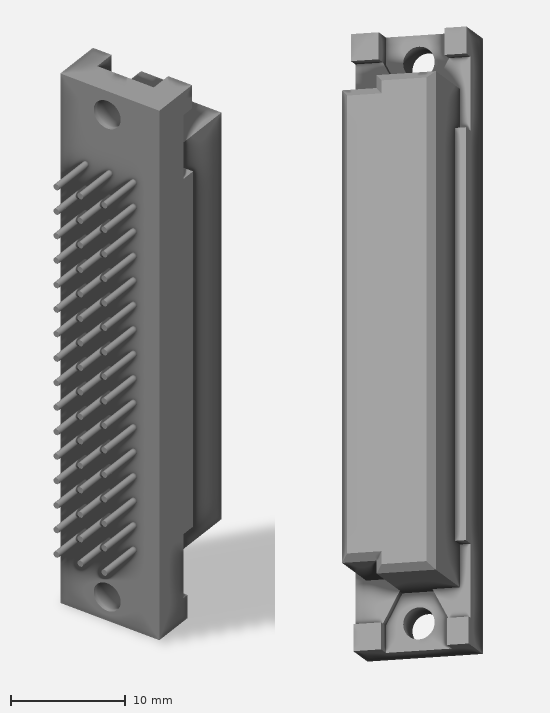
import cadquery as cq

LENGTH = 54.9
WIDTH = 10.5

BASE_HEIGHT = 3.7
TOP_EAR_HEIGHT = 5.0
BOTTOM_EAR_HEIGHT = 4.3
EAR_LENGTH = 2.4
WALL_HEIGHT = 5.15
WALL_LENGTH = 36.85

BODY_LENGTH = 44.45
BODY_WIDTH = 8.5
BODY_HEIGHT = 11.6
BODY_CHAMFER = 0.65
KEY_WIDTH = 3.15
KEY_STEP = 1.15

HOLE_DIAMETER = 2.85
HOLE_SPACING = 50.0
HOLE_X = -0.3
POCKET_FLOOR = 2.8
POCKET_WIDTH = 6.0

PIN_ROWS = 16
PIN_COLUMNS = 3
PIN_GRID_LENGTH = 38.1
PIN_PITCH = PIN_GRID_LENGTH / (PIN_ROWS - 1)
PIN_DIAMETER = 0.6
PIN_LENGTH = 4.5


def block(width, height, length, z_center=0.0):
    """Block centred in X, standing on the mounting face."""
    box = cq.Workplane("XY").box(width, height, length, centered=(True, False, True))
    return box.translate((0, 0, z_center))


def make_flange():
    ear_center = (LENGTH - EAR_LENGTH) / 2
    return (
        block(WIDTH, BASE_HEIGHT, LENGTH)
        .union(block(WIDTH, WALL_HEIGHT, WALL_LENGTH))
        .union(block(WIDTH, TOP_EAR_HEIGHT, EAR_LENGTH, ear_center))
        .union(block(WIDTH, BOTTOM_EAR_HEIGHT, EAR_LENGTH, -ear_center))
    )


def make_body():
    """Body whose +X side is shorter at both ends, chamfered around its mating face."""
    half_width = BODY_WIDTH / 2
    half_length = BODY_LENGTH / 2
    key_x = half_width - KEY_WIDTH
    key_z = half_length - KEY_STEP
    outline = [
        (-half_width, -half_length),
        (key_x, -half_length),
        (key_x, -key_z),
        (half_width, -key_z),
        (half_width, key_z),
        (key_x, key_z),
        (key_x, half_length),
        (-half_width, half_length),
    ]
    body = cq.Workplane("XZ").polyline(outline).close().extrude(-BODY_HEIGHT)
    return body.faces(">Y").chamfer(BODY_CHAMFER)


def nut_pocket(end):
    """Half-hexagon pocket around a screw hole, open toward the given end (+1 or -1).

    Its closed side is flush with the end face of the body.
    """
    corner = POCKET_WIDTH / 2
    hole_z = HOLE_SPACING / 2
    closed_z = BODY_LENGTH / 2
    outline = [
        (HOLE_X - corner, end * LENGTH),
        (HOLE_X - corner, end * hole_z),
        (HOLE_X - corner / 2, end * closed_z),
        (HOLE_X + corner / 2, end * closed_z),
        (HOLE_X + corner, end * hole_z),
        (HOLE_X + corner, end * LENGTH),
    ]
    return (
        cq.Workplane("XZ", origin=(0, POCKET_FLOOR, 0))
        .polyline(outline)
        .close()
        .extrude(-BODY_HEIGHT)
    )


def make_screw_holes():
    return (
        cq.Workplane("XZ", origin=(HOLE_X, 0, 0))
        .rarray(0.55, HOLE_SPACING, 1, 2)
        .circle(HOLE_DIAMETER / 2)
        .extrude(-BODY_HEIGHT)
    )


def make_pins():
    """Pin grid, rooted inside the flange so that it joins the base."""
    return (
        cq.Workplane("XZ", origin=(0, BASE_HEIGHT / 2, 0))
        .rarray(PIN_PITCH, PIN_PITCH, PIN_COLUMNS, PIN_ROWS)
        .circle(PIN_DIAMETER / 2)
        .extrude(PIN_LENGTH + BASE_HEIGHT / 2)
    )


flange = make_flange().cut(make_screw_holes())
for end in (1, -1):
    flange = flange.cut(nut_pocket(end))

result = flange.union(make_body()).union(make_pins())